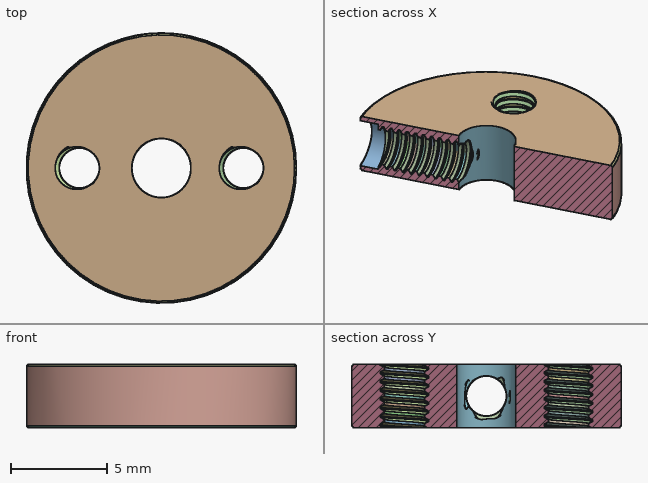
import cadquery as cq
import math

disc_diameter = 14.0
disc_thickness = 3.3
rim_chamfer = 0.1
bore_diameter = 3.05

thread_major_diameter = 2.5
thread_minor_diameter = 2.07
thread_pitch = 0.45
flank_half_angle = 30.0
root_flat = thread_pitch / 8
groove_overlap = 0.05

axial_hole_offset = 4.25

mouth_diameter = 2.7
mouth_depth = 1.0

disc_radius = disc_diameter / 2
half_thickness = disc_thickness / 2


def make_disc():
    disc = cq.Workplane("XY", origin=(0, 0, -half_thickness)).circle(disc_radius).extrude(disc_thickness)
    disc = disc.faces("|Z").edges().chamfer(rim_chamfer)
    return disc.faces(">Z").workplane().hole(bore_diameter)


def make_drill(length):
    """Cylinder of the minor diameter, rising from the origin along Z."""
    return cq.Workplane("XY").circle(thread_minor_diameter / 2).extrude(length)


def make_groove(turns):
    """Right-handed thread groove around Z, starting at the origin height on the +X side."""
    root_radius = thread_major_diameter / 2
    inner_radius = thread_minor_diameter / 2 - groove_overlap
    root_half_width = root_flat / 2
    flank_rise = (root_radius - inner_radius) * math.tan(math.radians(flank_half_angle))
    inner_half_width = root_half_width + flank_rise
    path = cq.Wire.makeHelix(thread_pitch, turns * thread_pitch, inner_radius)
    profile = cq.Workplane("XZ").polyline([
        (inner_radius, -inner_half_width),
        (root_radius, -root_half_width),
        (root_radius, root_half_width),
        (inner_radius, inner_half_width),
    ]).close()
    return profile.sweep(cq.Workplane(obj=path), isFrenet=True)


def cut_axial_holes(body):
    turns_below_top = math.ceil(disc_thickness / thread_pitch) + 1
    groove_start = half_thickness - (turns_below_top - 0.5) * thread_pitch
    groove = make_groove(turns_below_top + 1).translate((0, 0, groove_start))
    drill = make_drill(2 * disc_thickness).translate((0, 0, -disc_thickness))
    for side in (-1, 1):
        place = (side * axial_hole_offset, 0, 0)
        body = body.cut(groove.translate(place)).cut(drill.translate(place))
    return body


def lay_along_y(tool, start=0):
    """Turn a tool built along Z to point along +Y from the given distance."""
    return tool.rotate((0, 0, 0), (1, 0, 0), -90).translate((0, start, 0))


def cut_radial_hole(body):
    turns = math.ceil(disc_radius / thread_pitch) + 1
    body = body.cut(lay_along_y(make_groove(turns)))
    body = body.cut(lay_along_y(make_drill(disc_diameter)))
    mouth = cq.Workplane("XY").circle(mouth_diameter / 2).extrude(mouth_depth)
    return body.cut(lay_along_y(mouth, disc_radius - mouth_depth))


result = make_disc()
result = cut_axial_holes(result)
result = cut_radial_hole(result)